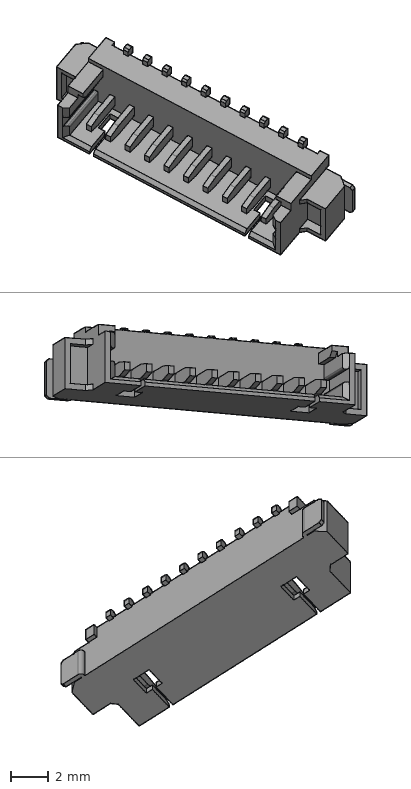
import cadquery as cq


HALF_WIDTH = 7.17
SIDE_WALL = 0.32
BODY_BACK = 4.41
BODY_HEIGHT = 3.72
BACK_WALL_FRONT = 2.97
SIDE_HEIGHT = 2.82
FLOOR = 0.42
LEAD_IN = 0.21
INNER_HALF = HALF_WIDTH - SIDE_WALL

REAR_BLOCK_WIDTH = 0.56
REAR_BLOCK_BACK = 4.66

RAIL_WIDTH = 0.32
RAIL_ROUND = 0.1
UPPER_RAIL_BOTTOM = 1.96
LOWER_RAIL_TOP = 1.24
RAIL_HALF = INNER_HALF - RAIL_WIDTH

LATCH_WIDTH = 0.95
LATCH_FRONT = 1.0
LATCH_TOP = 3.42
LATCH_LIP_BOTTOM = 3.1
LATCH_RAMP_LENGTH = 0.28

PIN_COUNT = 10
PIN_ROW_LENGTH = 11.25
PITCH = PIN_ROW_LENGTH / (PIN_COUNT - 1)
PIN_WIDTH = 0.32
PIN_FRONT = 0.69
PIN_TAPER_END = 1.45
PIN_BOTTOM = 0.81
PIN_TOP = 1.57
PIN_TAPER = 0.16
TAIL_FRONT = 4.25
TAIL_BACK = 4.7
TAIL_BOTTOM = 3.6
TAIL_TOP = 4.2
TAIL_CHAMFER = 0.1

OPENING_X = (PIN_COUNT / 2 - 1) * PITCH
WINDOW_WIDTH = 1.06
WINDOW_FRONT = 1.48
WINDOW_BACK = 2.61
SLOT_WIDTH = 0.25

EAR_HALF = 8.65
EAR_FRONT = 2.12
EAR_WALL = 0.32
EAR_CHAMFER_X = 0.53
EAR_CHAMFER_Y = 0.46
GUSSET = 0.3
EAR_POCKET_DEPTH = 0.5

TAB_HALF = 8.82
TAB_INNER = 7.41
TAB_THICKNESS = 0.25
TAB_BEND = 0.25
TAB_HEIGHT = 2.17
TAB_CHAMFER = 0.16
TAB_BACK = TAIL_BACK
TAB_FRONT = TAB_BACK - TAB_THICKNESS


def box(x_range, y_range, z_range):
    """Axis-aligned block between three pairs of limits."""
    size = [high - low for low, high in (x_range, y_range, z_range)]
    corner = (x_range[0], y_range[0], z_range[0])
    return cq.Workplane("XY").box(*size, centered=False).translate(corner)


def both_sides(shape):
    """The shape together with its mirror image across X = 0."""
    return shape.union(shape.mirror("YZ"))


def make_shell():
    """Back wall, floor and plain side walls."""
    full = (-HALF_WIDTH, HALF_WIDTH)
    back_wall = box(full, (BACK_WALL_FRONT, BODY_BACK), (0, BODY_HEIGHT))
    floor = box(full, (0, BACK_WALL_FRONT), (0, FLOOR))
    side = box((INNER_HALF, HALF_WIDTH), (0, BACK_WALL_FRONT), (0, SIDE_HEIGHT))
    rear_block = box(
        (HALF_WIDTH - REAR_BLOCK_WIDTH, HALF_WIDTH),
        (BACK_WALL_FRONT, REAR_BLOCK_BACK),
        (SIDE_HEIGHT, BODY_HEIGHT),
    )
    return back_wall.union(floor).union(both_sides(side.union(rear_block)))


def make_rails():
    """Upper and lower guide rails with rounded tips facing each other."""
    across = (RAIL_HALF, INNER_HALF)
    along = (0, BACK_WALL_FRONT)
    upper = box(across, along, (UPPER_RAIL_BOTTOM, SIDE_HEIGHT))
    upper = upper.edges("|Y and <Z").fillet(RAIL_ROUND)
    lower = box(across, along, (0, LOWER_RAIL_TOP))
    lower = lower.edges("|Y and >Z").fillet(RAIL_ROUND)
    return both_sides(upper.union(lower))


def make_lead_in():
    """Flared cutter that bevels the floor and the rails at the mating face."""
    wide_bottom = FLOOR - LEAD_IN
    return (
        cq.Workplane("XZ")
        .polyline([
            (-INNER_HALF, wide_bottom),
            (INNER_HALF, wide_bottom),
            (INNER_HALF, SIDE_HEIGHT),
            (-INNER_HALF, SIDE_HEIGHT),
        ])
        .close()
        .workplane(offset=-LEAD_IN)
        .polyline([
            (-RAIL_HALF, FLOOR),
            (RAIL_HALF, FLOOR),
            (RAIL_HALF, SIDE_HEIGHT),
            (-RAIL_HALF, SIDE_HEIGHT),
        ])
        .close()
        .loft(ruled=True)
    )


def make_latches():
    """Latch blocks overhanging the cavity, with a ramped lip underneath."""
    inner = HALF_WIDTH - LATCH_WIDTH
    base = box((RAIL_HALF, HALF_WIDTH), (LATCH_FRONT, BACK_WALL_FRONT), (SIDE_HEIGHT, LATCH_TOP))
    lip = (
        cq.Workplane("YZ", origin=(inner, 0, 0))
        .polyline([
            (LATCH_FRONT, LATCH_TOP),
            (LATCH_FRONT, LATCH_LIP_BOTTOM),
            (LATCH_FRONT + LATCH_RAMP_LENGTH, SIDE_HEIGHT),
            (BACK_WALL_FRONT, SIDE_HEIGHT),
            (BACK_WALL_FRONT, LATCH_TOP),
        ])
        .close()
        .extrude(RAIL_HALF - inner)
    )
    return both_sides(base.union(lip))


def make_floor_openings():
    """Window through the floor joined to the mating face by a narrow slot."""
    window = box(
        (OPENING_X - WINDOW_WIDTH / 2, OPENING_X + WINDOW_WIDTH / 2),
        (WINDOW_FRONT, WINDOW_BACK),
        (0, FLOOR),
    )
    slot = box(
        (OPENING_X - SLOT_WIDTH / 2, OPENING_X + SLOT_WIDTH / 2),
        (0, WINDOW_FRONT),
        (0, FLOOR),
    )
    return both_sides(window.union(slot))


def make_ears():
    """Side ears with a bevelled back corner, a front gusset and a front pocket."""
    ear = (
        cq.Workplane("XY")
        .polyline([
            (HALF_WIDTH, EAR_FRONT - GUSSET),
            (HALF_WIDTH + GUSSET, EAR_FRONT),
            (EAR_HALF, EAR_FRONT),
            (EAR_HALF, BODY_BACK - EAR_CHAMFER_Y),
            (EAR_HALF - EAR_CHAMFER_X, BODY_BACK),
            (HALF_WIDTH, BODY_BACK),
        ])
        .close()
        .extrude(SIDE_HEIGHT)
    )
    pocket = box(
        (HALF_WIDTH, EAR_HALF - EAR_WALL),
        (EAR_FRONT - GUSSET, EAR_FRONT + EAR_POCKET_DEPTH),
        (EAR_WALL, SIDE_HEIGHT - EAR_WALL),
    )
    return both_sides(ear.cut(pocket))


def make_solder_tabs():
    """Tabs behind the ears, bent forward into the ears at their inner ends."""
    tab = box((TAB_INNER, TAB_HALF), (BODY_BACK, TAB_BACK), (0, TAB_HEIGHT))
    gap = box((TAB_INNER + TAB_THICKNESS, TAB_HALF), (BODY_BACK, TAB_FRONT), (0, TAB_HEIGHT))
    tab = tab.cut(gap)
    tab = tab.edges("|Z and <X and >Y").fillet(TAB_BEND)
    tab = tab.edges("|Y and >X").chamfer(TAB_CHAMFER)
    return both_sides(tab)


def make_contact(x):
    """Tapered blade in the cavity and the soldering tail behind the back wall."""
    blade = (
        cq.Workplane("YZ", origin=(x - PIN_WIDTH / 2, 0, 0))
        .polyline([
            (BACK_WALL_FRONT, PIN_BOTTOM),
            (BACK_WALL_FRONT, PIN_TOP),
            (PIN_TAPER_END, PIN_TOP),
            (PIN_FRONT, PIN_TOP - PIN_TAPER),
            (PIN_FRONT, PIN_BOTTOM + PIN_TAPER),
            (PIN_TAPER_END, PIN_BOTTOM),
        ])
        .close()
        .extrude(PIN_WIDTH)
    )
    tail = box(
        (x - PIN_WIDTH / 2, x + PIN_WIDTH / 2),
        (TAIL_FRONT, TAIL_BACK),
        (TAIL_BOTTOM, TAIL_TOP),
    )
    tail = tail.edges("|X and >Z").chamfer(TAIL_CHAMFER)
    return blade.union(tail)


result = make_shell().union(make_rails()).cut(make_lead_in()).cut(make_floor_openings())
result = result.union(make_latches()).union(make_ears()).union(make_solder_tabs())
for index in range(PIN_COUNT):
    result = result.union(make_contact(index * PITCH - PIN_ROW_LENGTH / 2))